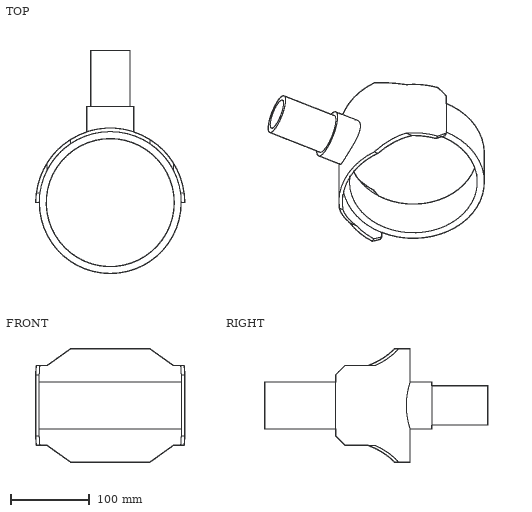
import cadquery as cq

ring_outer_radius = 90.0
ring_inner_radius = 81.0
ring_height = 60.0

saddle_outer_radius = 94.5
saddle_height = 144.0
saddle_side_height = 101.3
saddle_crown_half_width = 50.0
saddle_slope_end = 80.0
end_chamfer = 12.0

collar_diameter = 60.0
collar_end = 122.0
tube_diameter = 50.0
bore_diameter = 38.0
overall_length = 283
tube_end = overall_length - ring_outer_radius


def upright_cylinder(radius, height):
    """Cylinder along Z, centred on the origin."""
    return cq.Workplane("XY").cylinder(height, radius)


def spigot_cylinder(diameter, end):
    """Cylinder along +Y from the ring axis to the given Y position."""
    return cq.Workplane("XZ").circle(diameter / 2).extrude(-end)


def make_saddle():
    """Half tube with a raised crown and chamfered ends."""
    top = saddle_height / 2
    side = saddle_side_height / 2
    outer = upright_cylinder(saddle_outer_radius, saddle_height)
    shell = outer.cut(upright_cylinder(ring_outer_radius, saddle_height))
    right_edge = [
        (saddle_crown_half_width, top),
        (saddle_slope_end, side),
        (saddle_outer_radius, side),
    ]
    lower_right = [(x, -z) for x, z in reversed(right_edge)]
    right_half = right_edge + lower_right
    left_half = [(-x, -z) for x, z in right_half]
    width_profile = (
        cq.Workplane("XZ")
        .polyline(right_half + left_half)
        .close()
        .extrude(-saddle_outer_radius)
    )
    length_profile = (
        cq.Workplane("YZ")
        .polyline([
            (0, side - end_chamfer),
            (end_chamfer, side),
            (end_chamfer, top),
            (saddle_outer_radius, top),
            (saddle_outer_radius, -top),
            (end_chamfer, -top),
            (end_chamfer, -side),
            (0, -side + end_chamfer),
        ])
        .close()
        .extrude(saddle_outer_radius, both=True)
    )
    return shell.intersect(width_profile).intersect(length_profile)


ring = upright_cylinder(ring_outer_radius, ring_height)
ring_opening = upright_cylinder(ring_inner_radius, saddle_height)

spigot = spigot_cylinder(collar_diameter, collar_end).union(spigot_cylinder(tube_diameter, tube_end))
bore = spigot_cylinder(bore_diameter, tube_end)

result = ring.union(make_saddle()).union(spigot).cut(ring_opening).cut(bore)